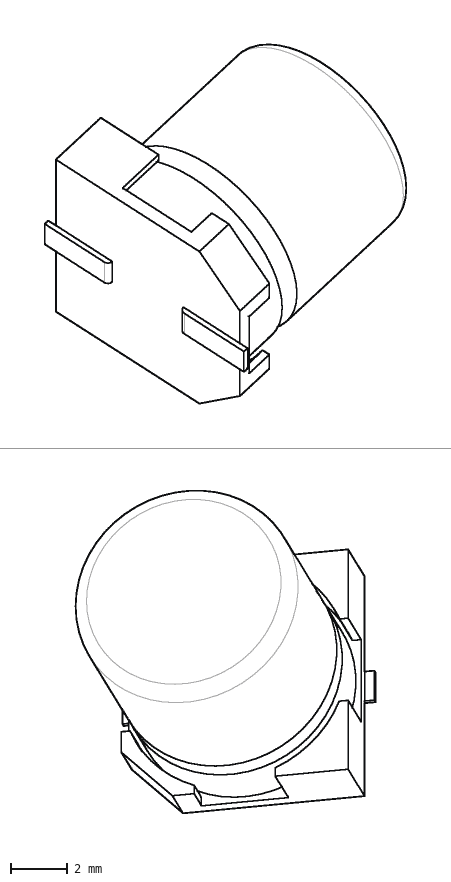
import cadquery as cq


overall_length = 10.01

lead_span = 9.2
lead_length = 2.95
lead_width = 1.14
lead_thickness = 0.2
lead_tip_radius = lead_thickness

base_side = 8.5
base_corner_chamfer = 1.87
base_floor_thickness = 0.51
tall_post_height = 2.5
short_post_height = 1.64
post_gap = 3.17

can_radius = 4.05
seat_clearance = 0.18
can_end_fillet = 0.5
groove_radius = 0.41
groove_center_y = 3.19

base_bottom_y = lead_thickness
base_floor_y = base_bottom_y + base_floor_thickness
tall_post_top_y = base_bottom_y + tall_post_height
short_post_top_y = base_bottom_y + short_post_height


def box_along_y(size_x, size_z, start_y, end_y, center_x=0.0):
    """Box centred on Z = 0 that spans start_y to end_y."""
    center_y = (start_y + end_y) / 2
    return cq.Workplane("XY").box(size_x, end_y - start_y, size_z).translate((center_x, center_y, 0))


def make_base():
    """Square base with two chamfered corners and four posts around the can seat."""
    body = box_along_y(base_side, base_side, base_bottom_y, tall_post_top_y)
    body = body.edges("|Y and >X").chamfer(base_corner_chamfer)

    body = body.cut(
        box_along_y(base_side / 2, base_side, short_post_top_y, tall_post_top_y, base_side / 4)
    )

    body = body.cut(box_along_y(base_side, post_gap, base_floor_y, tall_post_top_y))
    body = body.cut(box_along_y(post_gap, base_side, base_floor_y, tall_post_top_y))

    seat = (
        cq.Workplane("XZ", origin=(0, base_floor_y, 0))
        .circle(can_radius + seat_clearance)
        .extrude(base_floor_y - tall_post_top_y)
    )
    return body.cut(seat)


def make_can():
    """Revolved can with a rounded closed end and a half-round groove above the base."""
    fillet_start_y = overall_length - can_end_fillet
    profile = (
        cq.Workplane("XY")
        .moveTo(0, base_floor_y)
        .lineTo(can_radius, base_floor_y)
        .lineTo(can_radius, groove_center_y - groove_radius)
        .threePointArc(
            (can_radius - groove_radius, groove_center_y),
            (can_radius, groove_center_y + groove_radius),
        )
        .lineTo(can_radius, fillet_start_y)
        .radiusArc((can_radius - can_end_fillet, overall_length), -can_end_fillet)
        .lineTo(0, overall_length)
        .close()
    )
    return profile.revolve(360, (0, 0, 0), (0, 1, 0))


def make_lead(side):
    """Flat lead under the base with a rounded inner tip; side is -1 or +1 along X."""
    outer_x = side * lead_span / 2
    tip_x = outer_x - side * lead_length
    return (
        cq.Workplane("XY")
        .moveTo(outer_x, 0)
        .lineTo(outer_x, lead_thickness)
        .lineTo(tip_x, lead_thickness)
        .radiusArc((tip_x + side * lead_tip_radius, 0), -side * lead_tip_radius)
        .close()
        .extrude(lead_width / 2, both=True)
    )


base = make_base()
can = make_can()
leads = [make_lead(side) for side in (-1, 1)]

result = cq.Compound.makeCompound([base.val(), can.val(), *[lead.val() for lead in leads]])